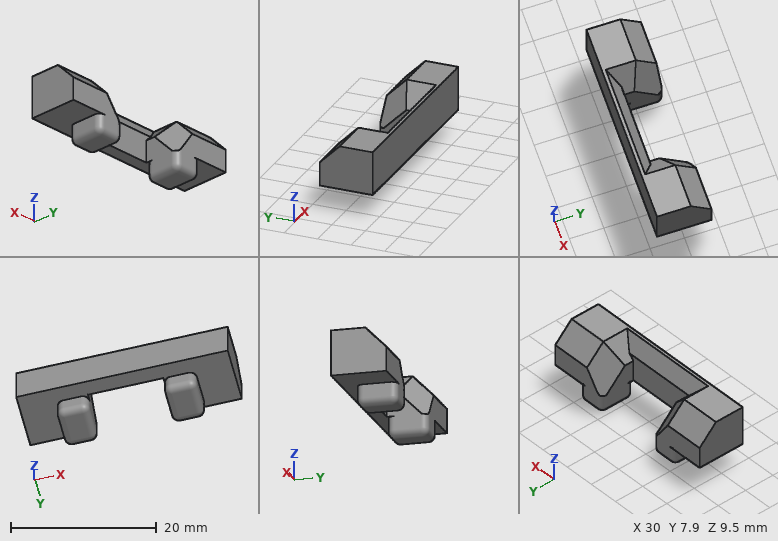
import cadquery as cq
import math

length = 29.98
depth = 7.9
total_height = 9.5
peg_height = 3.0
block_height = total_height - peg_height
rear_chamfer = 3.0

end_top_length = 6.6
end_base_length = 9.65
wall_thickness = 2.1
lip_thickness = 0.55
wall_slope = math.sqrt(2)

peg_width = 4.53
peg_depth = depth - wall_thickness
corner_radius = 1.0

bevel_reach = 2 * end_base_length


def extrude_along_x(points, start, distance):
    """Extrude a closed (Y, Z) outline from X = start."""
    return cq.Workplane("YZ", origin=(start, 0, 0)).polyline(points).close().extrude(distance)


def bevel_cutter(edge_direction):
    """Wedge for a 45 degree bevel along an edge through the inner top corner of the left end block."""
    corner = (-length / 2 + end_top_length, depth - rear_chamfer, block_height)
    plane = cq.Plane(origin=corner, xDir=(1, 0, 0), normal=edge_direction)
    wedge = [(0, 0), (bevel_reach, 0), (bevel_reach, -bevel_reach)]
    return cq.Workplane(plane).polyline(wedge).close().extrude(bevel_reach, both=True)


def left_end_block():
    profile = [
        (0, 0),
        (depth, 0),
        (depth, block_height - rear_chamfer),
        (depth - rear_chamfer, block_height),
        (0, block_height),
    ]
    block = extrude_along_x(profile, -length / 2, end_base_length)
    block = block.edges("|Z and >X and >Y").fillet(corner_radius)
    block = block.cut(bevel_cutter((0, -1, 0)))
    return block.cut(bevel_cutter((0, -1, 1)))


def front_wall():
    slope_drop = wall_slope * (wall_thickness - lip_thickness)
    profile = [
        (0, 0),
        (wall_thickness, 0),
        (wall_thickness, block_height - slope_drop),
        (lip_thickness, block_height),
        (0, block_height),
    ]
    return extrude_along_x(profile, -length / 2, length)


def left_peg():
    center_x = -length / 2 + end_base_length - peg_width / 2
    center_y = depth - peg_depth / 2
    peg = cq.Workplane("XY", origin=(center_x, center_y, 0)).rect(peg_width, peg_depth).extrude(-peg_height)
    return peg.edges("|Z").fillet(corner_radius).faces("<Z").edges().fillet(corner_radius)


left_end = left_end_block().union(left_peg())
right_end = left_end.mirror("YZ")
result = front_wall().union(left_end).union(right_end).clean()